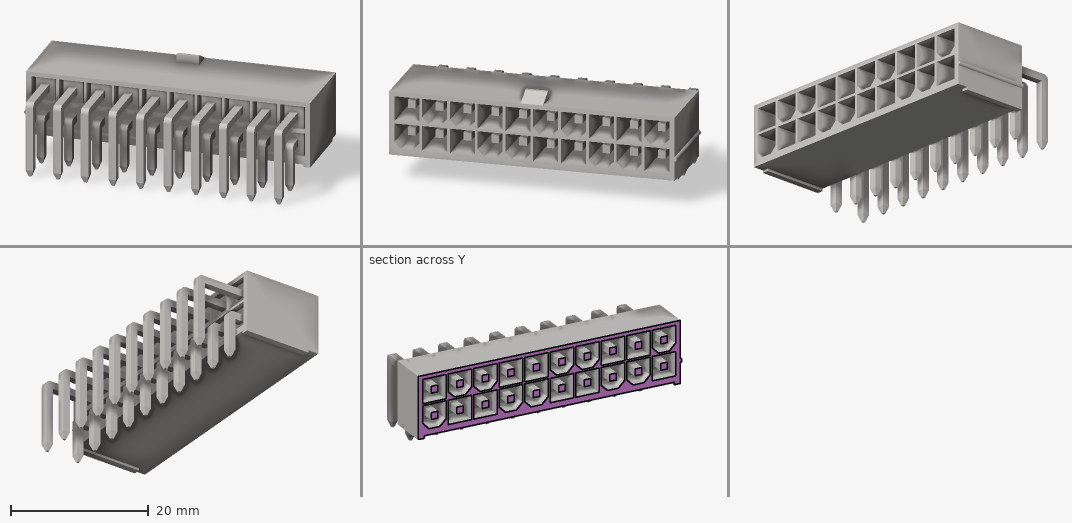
import cadquery as cq


housing_width = 43.2
housing_depth = 12.8
housing_height = 10.1
foot_width = 1.05
foot_height = 0.4
foot_setback = 1.8

columns = 10
column_span = 37.8
column_pitch = column_span / (columns - 1)
cell_size = 3.8
row_wall = 0.4
roof = 0.7
row_pitch = cell_size + row_wall
upper_row_z = housing_height - roof - cell_size / 2
lower_row_z = upper_row_z - row_pitch

web_width = 3.0
web_recess = 0.95
web_thickness = 2.18
web_back = web_recess + web_thickness

key_bevel = 1.0
upper_keyed_columns = (0, 3, 4, 7, 8)
lower_keyed_columns = (1, 2, 5, 6, 9)

pin_size = 1.18
pin_bend_radius = 0.8
pin_drop = 3.5
pin_taper = 1.1
pin_tip_size = 0.4
pin_tip_setback = 2.6
upper_pin_reach = 7.2
lower_pin_reach = 1.7

latch_width = 3.4
latch_length = 3.0
latch_flat = 0.52
latch_height = 1.3

rib_radius = 0.35
rib_proud = 0.3
rib_z = 3.7


def box(width, depth, height, x, y, z):
    """Box centred on x, starting at y and z."""
    return cq.Workplane("XY").box(width, depth, height, centered=(True, False, False)).translate((x, y, z))


def column_x(column):
    return (column - (columns - 1) / 2) * column_pitch


def make_housing():
    body = box(housing_width, housing_depth, housing_height - foot_height, 0, 0, foot_height)
    foot_x = (housing_width - foot_width) / 2
    for x in (-foot_x, foot_x):
        foot = box(foot_width, housing_depth - foot_setback, foot_height, x, 0, 0)
        body = body.union(foot)
    return body


def make_latch():
    back = housing_depth
    front = back - latch_length
    top = housing_height + latch_height
    return (
        cq.Workplane("YZ", origin=(-latch_width / 2, 0, 0))
        .moveTo(front, housing_height)
        .lineTo(front, top)
        .lineTo(front + latch_flat, top)
        .lineTo(back, housing_height)
        .close()
        .extrude(latch_width)
    )


def make_rib():
    rib_x = -housing_width / 2 - rib_proud + rib_radius
    return cq.Workplane("XZ", origin=(rib_x, 0, rib_z)).circle(rib_radius).extrude(-housing_depth)


def make_cell(x, z, keyed):
    """Space of one cell: an open pocket, a slot on each side of the web, and the mating cavity."""
    floor_z = z - cell_size / 2
    pocket = box(cell_size, web_back, cell_size, x, 0, floor_z)
    web = box(web_width, web_thickness, cell_size, x, web_recess, floor_z)
    cavity = box(cell_size, housing_depth - web_back, cell_size, x, web_back, floor_z)
    if keyed:
        cavity = cavity.edges("|Y and <Z").chamfer(key_bevel)
    return pocket.cut(web).union(cavity)


def make_pin(x, z, reach):
    """L-shaped square pin with a rounded outer bend and a tapered tail."""
    top = z + pin_size / 2
    taper_z = pin_taper - pin_drop
    inner_end = housing_depth - pin_tip_setback
    bent_bar = (
        cq.Workplane("YZ", origin=(x - pin_size / 2, 0, 0))
        .moveTo(inner_end, top)
        .lineTo(pin_bend_radius - reach, top)
        .radiusArc((-reach, top - pin_bend_radius), -pin_bend_radius)
        .lineTo(-reach, taper_z)
        .lineTo(pin_size - reach, taper_z)
        .lineTo(pin_size - reach, top - pin_size)
        .lineTo(inner_end, top - pin_size)
        .close()
        .extrude(pin_size)
    )
    tail = (
        cq.Workplane("XY", origin=(x, pin_size / 2 - reach, taper_z))
        .rect(pin_size, pin_size)
        .workplane(offset=-pin_taper)
        .rect(pin_tip_size, pin_tip_size)
        .loft(ruled=True)
    )
    return bent_bar.union(tail)


rows = (
    (upper_row_z, upper_keyed_columns, upper_pin_reach),
    (lower_row_z, lower_keyed_columns, lower_pin_reach),
)

result = make_housing().union(make_latch()).union(make_rib())

for row_z, keyed_columns, pin_reach in rows:
    for column in range(columns):
        x = column_x(column)
        result = result.cut(make_cell(x, row_z, column in keyed_columns))
        result = result.union(make_pin(x, row_z, pin_reach))